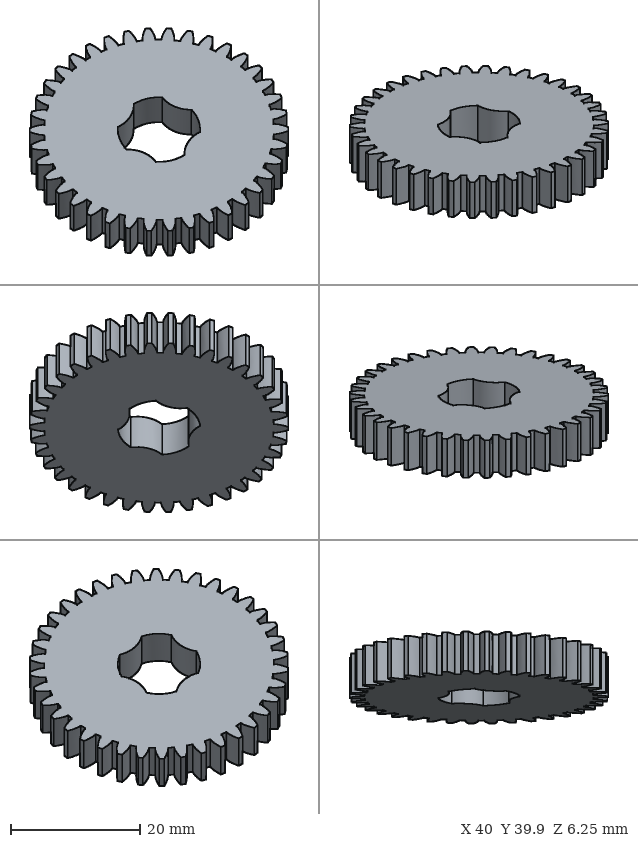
import cadquery as cq
import math

tooth_count = 38
module = 1.0
pressure_angle = math.radians(20)
dedendum_factor = 1.25
thickness = 6.25
flank_steps = 6

pitch_radius = module * tooth_count / 2
tip_radius = pitch_radius + module
root_radius = pitch_radius - dedendum_factor * module
base_radius = pitch_radius * math.cos(pressure_angle)
tooth_pitch = 2 * math.pi / tooth_count

bore_radius = 6.35
lobe_count = 4
lobe_radius = 5.0
lobe_reach = 5.1


def polar(radius, angle):
    return (radius * math.cos(angle), radius * math.sin(angle))


def involute_angle(radius):
    """Polar angle swept by the involute between the base circle and the radius."""
    roll = math.sqrt((radius / base_radius) ** 2 - 1)
    return roll - math.atan(roll)


def half_tooth_angle(radius):
    """Half the angle a tooth spans at the radius; a tooth fills half its pitch at the pitch circle."""
    return tooth_pitch / 4 + involute_angle(pitch_radius) - involute_angle(radius)


def gear_blank():
    flank_radii = [
        base_radius + (tip_radius - base_radius) * step / flank_steps
        for step in range(flank_steps + 1)
    ]
    root_half_angle = half_tooth_angle(base_radius)
    outline = cq.Workplane("XY").moveTo(*polar(root_radius, -root_half_angle))
    for tooth in range(tooth_count):
        middle = tooth * tooth_pitch
        rising = [polar(r, middle - half_tooth_angle(r)) for r in flank_radii]
        falling = [polar(r, middle + half_tooth_angle(r)) for r in reversed(flank_radii)]
        valley = middle + tooth_pitch / 2
        next_root = middle + tooth_pitch - root_half_angle
        outline = (
            outline.lineTo(*rising[0])
            .spline(rising[1:], includeCurrent=True)
            .threePointArc(polar(tip_radius, middle), falling[0])
            .spline(falling[1:], includeCurrent=True)
            .lineTo(*polar(root_radius, middle + root_half_angle))
            .threePointArc(polar(root_radius, valley), polar(root_radius, next_root))
        )
    return outline.close().extrude(thickness)


def bore():
    hole = cq.Workplane("XY").circle(bore_radius).extrude(thickness)
    lobes = (
        cq.Workplane("XY")
        .polarArray(lobe_reach + lobe_radius, 0, 360, lobe_count)
        .circle(lobe_radius)
        .extrude(thickness)
    )
    return hole.cut(lobes)


result = gear_blank().cut(bore())